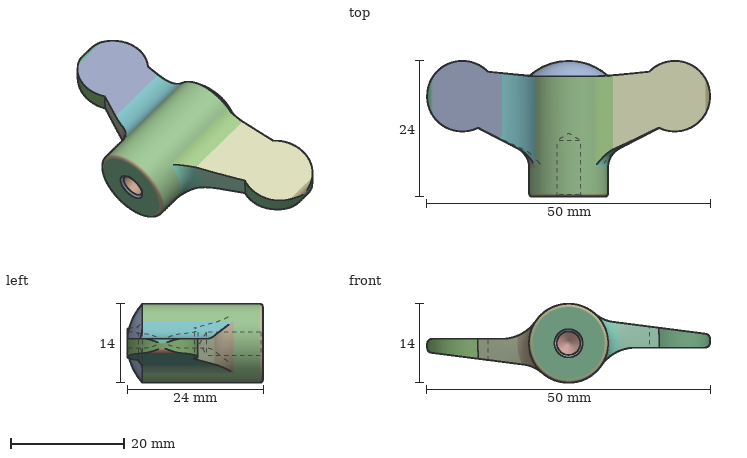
import cadquery as cq
import math

span = 50.0
length = 24.0
hub_radius = 7.0
shoulder_y = 21.3
front_round = 0.6

hole_diameter = 4.15
hole_mouth_diameter = 5.0
hole_depth = 10.0
drill_tip_angle = 118.0

pad_radius = 6.25
pad_x = span / 2 - pad_radius
pad_y = length - pad_radius
tip_round = 0.95

lower_z = -0.8
upper_axis_z = 4.8
upper_slope = math.radians(7.3)
lower_blend = 7.25
upper_blend = 6.0

collar_y = 5.2
flare_radius = 3.75
front_slope = math.radians(27.2)
back_slope = math.radians(6.0)


def make_hub():
    dome_radius = (hub_radius**2 + (length - shoulder_y)**2) / (2 * (length - shoulder_y))
    dome_center_y = length - dome_radius
    half_angle = math.asin(hub_radius / dome_radius) / 2
    dome_mid = (dome_radius * math.sin(half_angle), dome_center_y + dome_radius * math.cos(half_angle))
    outline = (
        cq.Workplane("XY")
        .lineTo(hub_radius, 0)
        .lineTo(hub_radius, shoulder_y)
        .threePointArc(dome_mid, (0, length))
        .close()
    )
    hub = outline.revolve(360, (0, 0, 0), (0, 1, 0))
    return hub.faces("<Y").edges().fillet(front_round)


def make_wing_section():
    """Right wing of full depth, blended tangentially into the hub circle."""
    lower_center_z = lower_z - lower_blend
    lower_reach = hub_radius + lower_blend
    lower_center_x = math.sqrt(lower_reach**2 - lower_center_z**2)
    lower_bisector = math.atan2(lower_center_z, lower_center_x)
    lower_hub = (hub_radius * math.cos(lower_bisector), hub_radius * math.sin(lower_bisector))
    lower_mid_angle = (lower_bisector + math.pi + math.pi / 2) / 2
    lower_mid = (
        lower_center_x + lower_blend * math.cos(lower_mid_angle),
        lower_center_z + lower_blend * math.sin(lower_mid_angle),
    )

    normal_angle = math.pi / 2 - upper_slope
    upper_reach = hub_radius + upper_blend
    center_height = upper_axis_z * math.cos(upper_slope) + upper_blend
    upper_bisector = normal_angle - math.acos(center_height / upper_reach)
    upper_center_x = upper_reach * math.cos(upper_bisector)
    upper_center_z = upper_reach * math.sin(upper_bisector)
    upper_hub = (hub_radius * math.cos(upper_bisector), hub_radius * math.sin(upper_bisector))
    face_angle = normal_angle + math.pi
    upper_mid_angle = (upper_bisector + math.pi + face_angle) / 2
    upper_mid, upper_end = [
        (upper_center_x + upper_blend * math.cos(a), upper_center_z + upper_blend * math.sin(a))
        for a in (upper_mid_angle, face_angle)
    ]

    tip_x = span / 2
    tip_upper_z = upper_axis_z - tip_x * math.tan(upper_slope)
    section = (
        cq.Workplane("XZ")
        .lineTo(*lower_hub)
        .threePointArc(lower_mid, (lower_center_x, lower_z))
        .lineTo(tip_x, lower_z)
        .lineTo(tip_x, tip_upper_z)
        .lineTo(*upper_end)
        .threePointArc(upper_mid, upper_hub)
        .close()
        .extrude(-length)
    )
    return section.faces(">X").edges("|Y").fillet(tip_round)


def make_wing_envelope():
    """Turned envelope with a flared front and a shallow conical back, plus the pad."""
    turn = math.pi / 2 - front_slope
    flare_center_r = hub_radius + flare_radius
    flare_mid = (
        flare_center_r - flare_radius * math.cos(turn / 2),
        collar_y + flare_radius * math.sin(turn / 2),
    )
    flare_end = (
        flare_center_r - flare_radius * math.cos(turn),
        collar_y + flare_radius * math.sin(turn),
    )
    front_y = flare_end[1] + (pad_x - flare_end[0]) * math.tan(front_slope)
    back_y = shoulder_y + (pad_x - hub_radius) * math.tan(back_slope)
    turned = (
        cq.Workplane("XY")
        .moveTo(0, collar_y)
        .lineTo(hub_radius, collar_y)
        .threePointArc(flare_mid, flare_end)
        .lineTo(pad_x, front_y)
        .lineTo(pad_x, back_y)
        .lineTo(hub_radius, shoulder_y)
        .lineTo(0, shoulder_y)
        .close()
        .revolve(360, (0, 0, 0), (0, 1, 0))
    )
    pad = cq.Workplane("XY").center(pad_x, pad_y).circle(pad_radius).extrude(hub_radius, both=True)
    return turned.union(pad)


def make_hole():
    radius = hole_diameter / 2
    mouth_radius = hole_mouth_diameter / 2
    tip_depth = radius / math.tan(math.radians(drill_tip_angle / 2))
    return (
        cq.Workplane("XY")
        .lineTo(mouth_radius, 0)
        .lineTo(radius, mouth_radius - radius)
        .lineTo(radius, hole_depth)
        .lineTo(0, hole_depth + tip_depth)
        .close()
        .revolve(360, (0, 0, 0), (0, 1, 0))
    )


wing = make_wing_section().intersect(make_wing_envelope())
opposite_wing = wing.rotate((0, 0, 0), (0, 1, 0), 180)
result = make_hub().union(wing).union(opposite_wing).cut(make_hole())